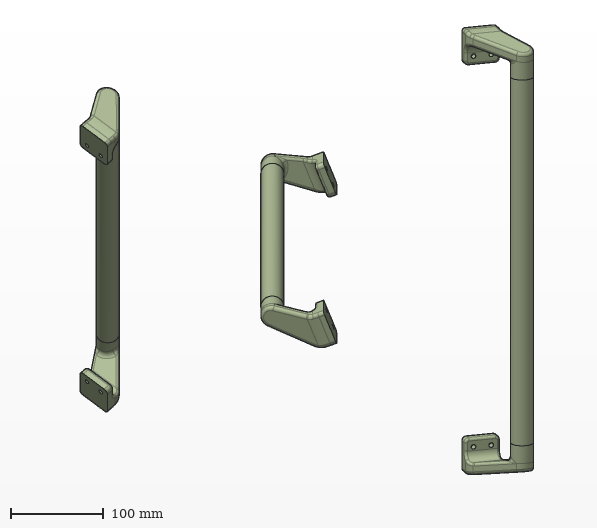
import cadquery as cq
import math

TOTAL_HEIGHT = 500.0

GRIP_RADIUS = 12.5
GRIP_X = GRIP_RADIUS
GRIP_Y = 55.0
JOINT_HEIGHT = 44.0

PLATE_SIZE = 40.0
PLATE_LEFT = 22.5
PLATE_RIGHT = PLATE_LEFT + PLATE_SIZE
PLATE_THICKNESS = 10.0
PLATE_CORNER_RADIUS = 5.0
HOLE_DIAMETER = 5.0
HOLE_SPACING = 20.0
HOLE_HEIGHT = 30.0

ARM_ANGLE = 15.0
ARM_DEPTH = 13.5
SLOPE_START_Y = 13.0
SLOPE_BLEND_RADIUS = 50.0
ARM_LEFT_Y = 15.0
ARM_RIGHT_Y = 19.0
LEFT_BLEND_RADIUS = 10.0
RIGHT_BLEND_RADIUS = 17.5
ARM_PLATE_FILLET = 10.0
OUTER_EDGE_FILLET = 4.0
INNER_EDGE_FILLET = 3.0
GRIP_ROOT_FILLET = 6.0

REACH = GRIP_Y + GRIP_RADIUS
ARM_SLOPE = math.tan(math.radians(ARM_ANGLE))


def slope_height(y):
    """Height of the arm's sloping outer face at the given Y."""
    return (y - SLOPE_START_Y) * ARM_SLOPE


def tangent_point(x, y, side):
    """Point where a line from (x, y) touches the grip circle; side is +1 or -1."""
    to_point = math.atan2(y - GRIP_Y, x - GRIP_X)
    distance = math.hypot(x - GRIP_X, y - GRIP_Y)
    angle = to_point + side * math.acos(GRIP_RADIUS / distance)
    return (GRIP_X + GRIP_RADIUS * math.cos(angle), GRIP_Y + GRIP_RADIUS * math.sin(angle))


def fillet_at(body, point, radius):
    """Round the edge whose middle is nearest to the point."""
    return body.edges(cq.NearestToPointSelector(point)).fillet(radius)


def grip_cylinder(bottom, top):
    """Round bar on the grip axis between two heights."""
    return (
        cq.Workplane("XY", origin=(GRIP_X, GRIP_Y, bottom))
        .circle(GRIP_RADIUS)
        .extrude(top - bottom)
    )


def plan_prism():
    """Outline along Z: plate sides, then lines that run tangent to the grip circle."""
    left_touch = tangent_point(PLATE_LEFT, ARM_LEFT_Y, -1)
    right_touch = tangent_point(PLATE_RIGHT, ARM_RIGHT_Y, 1)
    prism = (
        cq.Workplane("XY")
        .moveTo(PLATE_LEFT, 0)
        .lineTo(PLATE_RIGHT, 0)
        .lineTo(PLATE_RIGHT, ARM_RIGHT_Y)
        .lineTo(*right_touch)
        .lineTo(*left_touch)
        .lineTo(PLATE_LEFT, ARM_LEFT_Y)
        .close()
        .extrude(JOINT_HEIGHT)
        .union(grip_cylinder(0, JOINT_HEIGHT))
    )
    left_corner = (PLATE_LEFT, ARM_LEFT_Y, JOINT_HEIGHT / 2)
    right_corner = (PLATE_RIGHT, ARM_RIGHT_Y, JOINT_HEIGHT / 2)
    prism = fillet_at(prism, left_corner, LEFT_BLEND_RADIUS)
    return fillet_at(prism, right_corner, RIGHT_BLEND_RADIUS)


def side_prism():
    """L-shaped section along X: upright plate and sloping arm."""
    profile = (
        cq.Workplane("YZ")
        .moveTo(0, 0)
        .lineTo(SLOPE_START_Y, 0)
        .lineTo(REACH, slope_height(REACH))
        .lineTo(REACH, slope_height(REACH) + ARM_DEPTH)
        .lineTo(PLATE_THICKNESS, slope_height(PLATE_THICKNESS) + ARM_DEPTH)
        .lineTo(PLATE_THICKNESS, PLATE_SIZE)
        .lineTo(0, PLATE_SIZE)
        .close()
        .extrude(PLATE_RIGHT)
    )
    outer_bend = (PLATE_RIGHT / 2, SLOPE_START_Y, 0)
    inner_bend = (PLATE_RIGHT / 2, PLATE_THICKNESS, ARM_DEPTH)
    profile = fillet_at(profile, outer_bend, SLOPE_BLEND_RADIUS)
    return fillet_at(profile, inner_bend, ARM_PLATE_FILLET)


def knuckle():
    """Round end that carries the grip, from inside the arm to the joint with the tube."""
    return grip_cylinder(slope_height(GRIP_Y) + ARM_DEPTH / 2, JOINT_HEIGHT)


def screw_holes():
    """Two holes through the plate, side by side."""
    center_x = (PLATE_LEFT + PLATE_RIGHT) / 2
    return (
        cq.Workplane("XZ")
        .pushPoints([(center_x + side * HOLE_SPACING / 2, HOLE_HEIGHT) for side in (-1, 1)])
        .circle(HOLE_DIAMETER / 2)
        .extrude(-PLATE_THICKNESS)
    )


def make_bracket():
    """Lower bracket, with its outer face at Z = 0."""
    bracket = plan_prism().intersect(side_prism())
    bracket = bracket.edges("|Y and >Z").fillet(PLATE_CORNER_RADIUS)

    touch_x, touch_y = tangent_point(PLATE_LEFT, ARM_LEFT_Y, -1)
    rim_x = (PLATE_LEFT + touch_x) / 2
    rim_y = (ARM_LEFT_Y + touch_y) / 2
    outer_rim = (rim_x, rim_y, slope_height(rim_y))
    inner_rim = (PLATE_LEFT + PLATE_SIZE / 2, PLATE_THICKNESS, PLATE_SIZE)
    bracket = fillet_at(bracket, outer_rim, OUTER_EDGE_FILLET)
    bracket = fillet_at(bracket, inner_rim, INNER_EDGE_FILLET)

    root_y = GRIP_Y - GRIP_RADIUS
    root = (GRIP_X, root_y, slope_height(root_y) + ARM_DEPTH)
    bracket = fillet_at(bracket.union(knuckle()), root, GRIP_ROOT_FILLET)
    return bracket.cut(screw_holes())


grip_tube = grip_cylinder(JOINT_HEIGHT, TOTAL_HEIGHT - JOINT_HEIGHT)
lower_bracket = make_bracket()
upper_bracket = lower_bracket.mirror("XY", (0, 0, TOTAL_HEIGHT / 2))

result = cq.Compound.makeCompound([grip_tube.val(), lower_bracket.val(), upper_bracket.val()])